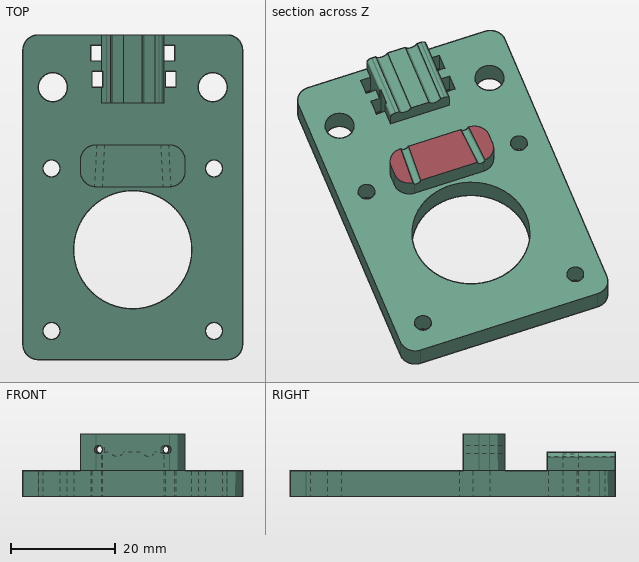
import cadquery as cq

PLATE_WIDTH = 42.0
PLATE_LENGTH = 62.0
PLATE_THICKNESS = 5.0
PLATE_FRONT_Y = -PLATE_WIDTH / 2
PLATE_BACK_Y = PLATE_FRONT_Y + PLATE_LENGTH
CORNER_RADIUS = 3.0

BORE_DIAMETER = 22.5
MOTOR_HOLE_DIAMETER = 3.2
MOTOR_HOLE_SPACING = 31.0
MOUNT_HOLE_DIAMETER = 5.5
MOUNT_HOLE_SPACING = 30.5
MOUNT_HOLE_Y = 31.0

BOSS_WIDTH = 20.0
BOSS_DEPTH = 8.0
BOSS_HEIGHT = 7.0
BOSS_FRONT_Y = 12.0
CROSS_HOLE_DIAMETER = 1.5
CROSS_HOLE_Z = PLATE_THICKNESS + 4.0
CROSS_HOLE_FRONT_X = 6.55
CROSS_HOLE_BACK_X = 6.1

SADDLE_WIDTH = 12.0
SADDLE_LENGTH = 13.0
SADDLE_HEIGHT = 3.5
SADDLE_EDGE_RADIUS = 1.0
SADDLE_TOP_Z = PLATE_THICKNESS + SADDLE_HEIGHT
GROOVE_X = SADDLE_WIDTH / 4
GROOVE_WIDTH = 2.4
GROOVE_DEPTH = 0.8
GROOVE_RADIUS = ((GROOVE_WIDTH / 2) ** 2 + GROOVE_DEPTH**2) / (2 * GROOVE_DEPTH)

SLOT_WIDTH = 2.0
SLOT_LENGTH = 3.0
SLOT_X = (SADDLE_WIDTH + SLOT_WIDTH) / 2
SLOT_GAP = 2.0
SLOT_PITCH = SLOT_LENGTH + SLOT_GAP
BACK_SLOT_Y = PLATE_BACK_Y - SLOT_GAP - SLOT_LENGTH / 2
FRONT_SLOT_SHIFT = 0.25


def rounded_block(width, length, height, front_y, base_z):
    """Block centred on X with rounded vertical corners."""
    block = cq.Workplane("XY").box(width, length, height, centered=(True, False, False))
    return block.edges("|Z").fillet(CORNER_RADIUS).translate((0, front_y, base_z))


def plate_holes():
    """Motor bore, four motor screw holes and two mounting holes."""
    bore = cq.Workplane("XY").circle(BORE_DIAMETER / 2).extrude(PLATE_THICKNESS)
    motor_holes = (
        cq.Workplane("XY")
        .rect(MOTOR_HOLE_SPACING, MOTOR_HOLE_SPACING, forConstruction=True)
        .vertices()
        .circle(MOTOR_HOLE_DIAMETER / 2)
        .extrude(PLATE_THICKNESS)
    )
    mount_holes = (
        cq.Workplane("XY")
        .pushPoints([(side * MOUNT_HOLE_SPACING / 2, MOUNT_HOLE_Y) for side in (-1, 1)])
        .circle(MOUNT_HOLE_DIAMETER / 2)
        .extrude(PLATE_THICKNESS)
    )
    return bore.union(motor_holes).union(mount_holes)


def cross_hole(side):
    """Hole through the boss from front to back, leaning slightly towards the middle."""
    front = cq.Vector(side * CROSS_HOLE_FRONT_X, BOSS_FRONT_Y, CROSS_HOLE_Z)
    back = cq.Vector(side * CROSS_HOLE_BACK_X, BOSS_FRONT_Y + BOSS_DEPTH, CROSS_HOLE_Z)
    axis = back - front
    start = front - axis
    return cq.Workplane(cq.Solid.makeCylinder(CROSS_HOLE_DIAMETER / 2, 3 * axis.Length, start, axis))


def saddle():
    """Saddle block flush with the back edge of the plate."""
    front_y = PLATE_BACK_Y - SADDLE_LENGTH
    block = (
        cq.Workplane("XY")
        .box(SADDLE_WIDTH, SADDLE_LENGTH, SADDLE_HEIGHT, centered=(True, False, False))
        .translate((0, front_y, PLATE_THICKNESS))
        .edges("|Y and >Z")
        .fillet(SADDLE_EDGE_RADIUS)
    )
    groove_axis_z = SADDLE_TOP_Z - GROOVE_DEPTH + GROOVE_RADIUS
    grooves = (
        cq.Workplane("XZ", origin=(0, PLATE_BACK_Y, 0))
        .pushPoints([(-GROOVE_X, groove_axis_z), (GROOVE_X, groove_axis_z)])
        .circle(GROOVE_RADIUS)
        .extrude(SADDLE_LENGTH)
    )
    return block.cut(grooves)


def tie_slot_pair(shift_x, center_y):
    """Two slots that pass through the plate and clear any saddle material above them."""
    return (
        cq.Workplane("XY")
        .pushPoints([(side * SLOT_X + shift_x, center_y) for side in (-1, 1)])
        .rect(SLOT_WIDTH, SLOT_LENGTH)
        .extrude(SADDLE_TOP_Z)
    )


plate = rounded_block(PLATE_WIDTH, PLATE_LENGTH, PLATE_THICKNESS, PLATE_FRONT_Y, 0)
boss = rounded_block(BOSS_WIDTH, BOSS_DEPTH, BOSS_HEIGHT, BOSS_FRONT_Y, PLATE_THICKNESS)
for hole_side in (-1, 1):
    boss = boss.cut(cross_hole(hole_side))

result = plate.cut(plate_holes()).union(boss).union(saddle())
result = result.cut(tie_slot_pair(0, BACK_SLOT_Y))
result = result.cut(tie_slot_pair(FRONT_SLOT_SHIFT, BACK_SLOT_Y - SLOT_PITCH))